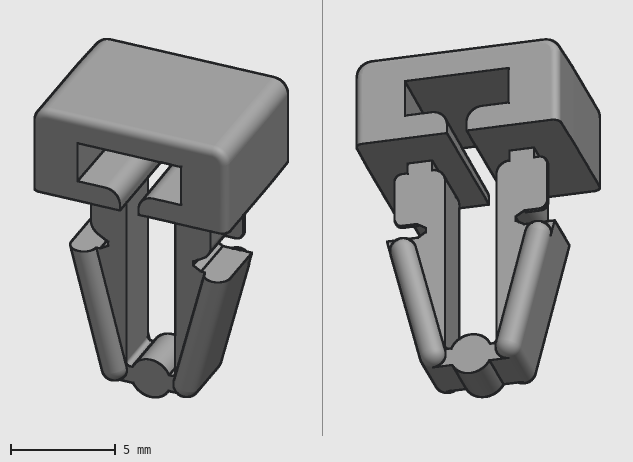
import cadquery as cq
import math

HEAD_WIDTH = 10.16
HEAD_DEPTH = 7.62
HEAD_HEIGHT = 4.57
HEAD_TOP_RADIUS = 0.79
HEAD_RIM_RADIUS = 0.39
DRAFT_ANGLE = 1.0

OPENING_HALF_WIDTH = 2.695
OPENING_BOTTOM = 1.09
OPENING_TOP = 3.21
GAP_WIDTH = 0.97
LIP_RADIUS = 0.76

PLATE_THICKNESS = 2.57
LEG_INNER_X = 1.27
NECK_INNER_X = 1.905
NECK_OUTER_X = 3.12
SHOULDER_Z = -0.53
SHOULDER_RADIUS = NECK_INNER_X - LEG_INNER_X

NOTCH_X = 2.21
NOTCH_TOP_Z = -3.59
NOTCH_BOTTOM_Z = -3.80
NOTCH_ANGLE = math.radians(31)
NECK_CORNER_RADIUS = 0.8

BARB_RADIUS = 0.635
BARB_ANGLE = math.radians(14.1)
BARB_TOP_Z = -4.05
BARB_FOOT_X = 1.87
BARB_FOOT_Z = -10.50

BRIDGE_TOP_Z = -10.24
BRIDGE_BOTTOM_Z = BARB_FOOT_Z - BARB_RADIUS
BRIDGE_CORNER_RADIUS = 0.18
PIN_RADIUS = 1.04
PART_HEIGHT = 16.26
PIN_Z = HEAD_HEIGHT - PART_HEIGHT + PIN_RADIUS

TAB_OUTER_X = 3.77
TAB_BOTTOM_Z = -3.31
TAB_THICKNESS = 0.23
TAB_RADIUS = 0.38

FRONT_Y = -HEAD_DEPTH / 2
REAR_Y = HEAD_DEPTH / 2
PLATE_FRONT_Y = -PLATE_THICKNESS / 2
PLATE_REAR_Y = PLATE_THICKNESS / 2


def xz_plane(y):
    """Workplane facing +Y at the given y, with local axes (-X, Z)."""
    return cq.Workplane(cq.Plane(origin=(0, y, 0), xDir=(-1, 0, 0), normal=(0, 1, 0)))


def head_section(workplane, inset):
    """Arch-topped head outline, drawn in from its sides and top by inset."""
    half_width = HEAD_WIDTH / 2 - inset
    top = HEAD_HEIGHT - inset
    shoulder_x = half_width - HEAD_TOP_RADIUS
    shoulder_z = top - HEAD_TOP_RADIUS
    return (
        workplane.moveTo(-half_width, 0)
        .lineTo(half_width, 0)
        .lineTo(half_width, shoulder_z)
        .radiusArc((shoulder_x, top), -HEAD_TOP_RADIUS)
        .lineTo(-shoulder_x, top)
        .radiusArc((-half_width, shoulder_z), -HEAD_TOP_RADIUS)
        .close()
    )


def make_head():
    """Rounded block: straight up to the rear of the plate, drafted behind it."""
    drafted_depth = REAR_Y - PLATE_REAR_Y
    end_inset = drafted_depth * math.tan(math.radians(DRAFT_ANGLE))
    head = head_section(xz_plane(FRONT_Y), 0).extrude(HEAD_DEPTH - drafted_depth)
    rear = head_section(xz_plane(PLATE_REAR_Y), 0)
    rear = head_section(rear.workplane(offset=drafted_depth), end_inset).loft(ruled=True)
    head = head.union(rear)
    not_underside = cq.selectors.BoxSelector(
        (-HEAD_WIDTH, -HEAD_DEPTH, HEAD_RIM_RADIUS),
        (HEAD_WIDTH, HEAD_DEPTH, 2 * HEAD_HEIGHT),
    )
    for end_face in ("<Y", ">Y"):
        head = head.faces(end_face).edges(not_underside).fillet(HEAD_RIM_RADIUS)
    return head


def make_opening():
    """Drafted window narrowing toward the rear, with a gap down to the underside."""
    window_center_z = (OPENING_TOP + OPENING_BOTTOM) / 2
    window = (
        xz_plane(FRONT_Y)
        .center(0, window_center_z)
        .rect(2 * OPENING_HALF_WIDTH, OPENING_TOP - OPENING_BOTTOM)
        .extrude(HEAD_DEPTH, taper=DRAFT_ANGLE)
    )
    gap = (
        xz_plane(FRONT_Y)
        .center(0, window_center_z / 2)
        .rect(GAP_WIDTH, window_center_z)
        .extrude(HEAD_DEPTH)
    )
    lip_edges = cq.selectors.BoxSelector(
        (-GAP_WIDTH, -HEAD_DEPTH / 4, OPENING_BOTTOM / 2),
        (GAP_WIDTH, HEAD_DEPTH / 4, window_center_z),
    )
    return window.union(gap).edges(lip_edges).fillet(LIP_RADIUS)


def barb_axis_x(z):
    """X of the right-hand barb's axis at height z."""
    return BARB_FOOT_X + (z - BARB_FOOT_Z) * math.tan(BARB_ANGLE)


def make_leg():
    """Right-hand leg: neck, notch, barb core and half of the bridge."""
    sin_notch = math.sin(NOTCH_ANGLE)
    cos_notch = math.cos(NOTCH_ANGLE)
    flank_x = NECK_OUTER_X - NECK_CORNER_RADIUS * (1 - sin_notch)
    flank_z = NOTCH_TOP_Z + (flank_x - NOTCH_X) * math.tan(NOTCH_ANGLE)
    corner_z = flank_z + NECK_CORNER_RADIUS * cos_notch
    ledge_x = NOTCH_X + (NOTCH_BOTTOM_Z - BARB_TOP_Z) / math.tan(NOTCH_ANGLE)

    barb_tip_x = barb_axis_x(BARB_TOP_Z) + BARB_RADIUS / math.cos(BARB_ANGLE)
    foot_side_x = BARB_FOOT_X + BARB_RADIUS * math.cos(BARB_ANGLE)
    foot_side_z = BARB_FOOT_Z - BARB_RADIUS * math.sin(BARB_ANGLE)
    return (
        cq.Workplane("XZ", origin=(0, PLATE_REAR_Y, 0))
        .moveTo(NECK_INNER_X, 0)
        .lineTo(NECK_OUTER_X, 0)
        .lineTo(NECK_OUTER_X, corner_z)
        .radiusArc((flank_x, flank_z), NECK_CORNER_RADIUS)
        .lineTo(NOTCH_X, NOTCH_TOP_Z)
        .lineTo(NOTCH_X, NOTCH_BOTTOM_Z)
        .lineTo(ledge_x, BARB_TOP_Z)
        .lineTo(barb_tip_x, BARB_TOP_Z)
        .lineTo(foot_side_x, foot_side_z)
        .radiusArc((BARB_FOOT_X, BRIDGE_BOTTOM_Z), BARB_RADIUS)
        .lineTo(0, BRIDGE_BOTTOM_Z)
        .lineTo(0, BRIDGE_TOP_Z)
        .lineTo(LEG_INNER_X - BRIDGE_CORNER_RADIUS, BRIDGE_TOP_Z)
        .radiusArc((LEG_INNER_X, BRIDGE_TOP_Z + BRIDGE_CORNER_RADIUS), -BRIDGE_CORNER_RADIUS)
        .lineTo(LEG_INNER_X, SHOULDER_Z - SHOULDER_RADIUS)
        .radiusArc((NECK_INNER_X, SHOULDER_Z), SHOULDER_RADIUS)
        .close()
        .extrude(PLATE_THICKNESS)
    )


def make_barb_side(y, top_z):
    """Leaning rod on the plate face at y, from its ball foot to the height top_z."""
    foot = cq.Vector(BARB_FOOT_X, y, BARB_FOOT_Z)
    direction = cq.Vector(math.sin(BARB_ANGLE), 0, math.cos(BARB_ANGLE))
    length = (top_z - BARB_FOOT_Z) / math.cos(BARB_ANGLE)
    rod = cq.Workplane(cq.Solid.makeCylinder(BARB_RADIUS, length, foot, direction))
    return rod.union(make_ball(foot))


def make_ball(center):
    """Ball of the barb's radius."""
    return cq.Workplane("XY").sphere(BARB_RADIUS).translate(center)


def make_barb():
    """Rounded sides of the right-hand barb: front cut level on top, rear ending in a ball."""
    overshoot = 2 * BARB_RADIUS
    trim_size = 6 * BARB_RADIUS
    front = make_barb_side(PLATE_FRONT_Y, BARB_TOP_Z + overshoot)
    above_barb = (
        cq.Workplane("XY", origin=(barb_axis_x(BARB_TOP_Z), PLATE_FRONT_Y, BARB_TOP_Z))
        .rect(trim_size, trim_size)
        .extrude(trim_size)
    )
    front = front.cut(above_barb)

    ball_z = BARB_TOP_Z - BARB_RADIUS
    rear = make_barb_side(PLATE_REAR_Y, ball_z)
    rear = rear.union(make_ball(cq.Vector(barb_axis_x(ball_z), PLATE_REAR_Y, ball_z)))

    plate_slab = cq.Workplane("XY").box(2 * HEAD_WIDTH, PLATE_THICKNESS, 2 * PART_HEIGHT)
    return front.union(rear).cut(plate_slab)


def make_tab():
    """Thin rounded tab beside the right-hand neck."""
    root_x = NECK_INNER_X
    return (
        cq.Workplane("XZ", origin=(0, PLATE_REAR_Y, 0))
        .center((root_x + TAB_OUTER_X) / 2, (SHOULDER_Z + TAB_BOTTOM_Z) / 2)
        .rect(TAB_OUTER_X - root_x, SHOULDER_Z - TAB_BOTTOM_Z)
        .extrude(TAB_THICKNESS)
        .edges("|Y and >X")
        .fillet(TAB_RADIUS)
    )


def make_pin():
    """Round pin across the middle of the bridge."""
    return (
        cq.Workplane("XZ", origin=(0, PLATE_REAR_Y, PIN_Z))
        .circle(PIN_RADIUS)
        .extrude(PLATE_THICKNESS)
    )


right_half = make_leg().union(make_barb()).union(make_tab())
left_half = right_half.mirror("YZ")
clip = right_half.union(left_half).union(make_pin())
result = make_head().cut(make_opening()).union(clip)